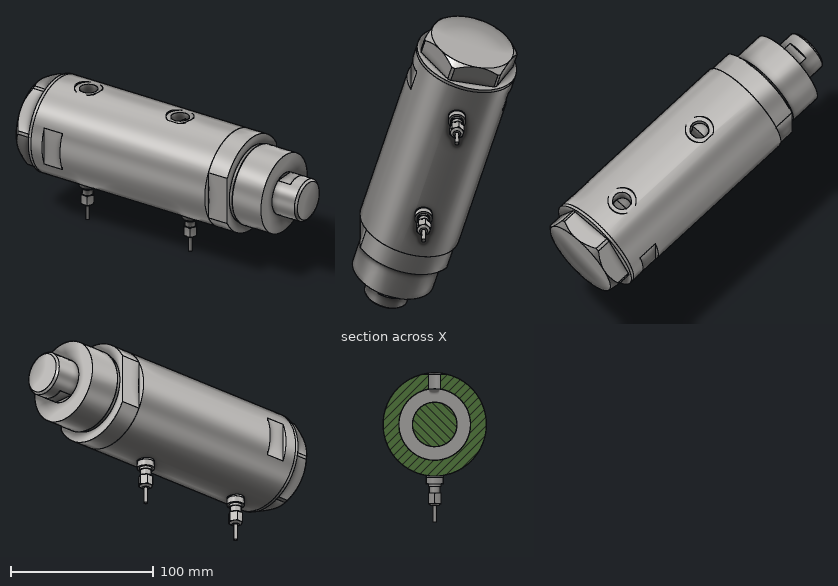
import cadquery as cq
import math


hex_end = 14.5
cap_flange_end = 16.8
cap_spigot_end = 42.4
gland_spigot_start = 118.2
barrel_end = 163.0
gland_flange_end = 179.0
gland_end = 206.1
rod_end = 226.5

barrel_radius = 36.5
bore_radius = 25.1
gland_seat_radius = 31.5
barrel_flat_half_width = 33.5
barrel_flat_start = 26.0
barrel_flat_length = 15.2

port_positions = (41.5, 118.5)
port_radius = 6.5
port_face_radius = 10.0
port_face_depth = 1.1

cap_hex_across_flats = 60.0
cap_hex_corner_radius = 34.0
cap_hex_turn = -7.5

gland_flat_half_width = 31.7
gland_nose_radius = 30.0
gland_groove_radius = 29.0
gland_groove_width = 2.3
gland_groove_chamfer = gland_nose_radius - gland_groove_radius

piston_length = 29.5
rod_diameter = 31.5
rod_radius = rod_diameter / 2
rod_chamfer = 1.5
rod_flat_half_width = 13.5
rod_flat_length = 10.5

sensor_positions = (40.5, 127.0)
sensor_boss_height = 1.0
sensor_top = -barrel_radius - sensor_boss_height
sensor_body_radius = 6.1
sensor_body_end = -42.0
sensor_collar_radius = 4.5
sensor_collar_end = -43.7
sensor_neck_radius = 3.9
sensor_nut_top = -48.2
sensor_nut_across_flats = 9.0
sensor_nut_chamfer = 0.5
sensor_nut_end = -55.7
sensor_cone_end = -57.0
sensor_cone_tip_radius = 2.7
cable_radius = 1.4
cable_end = -68.9


def cylinder_x(radius, start, end):
    """Solid cylinder about the X axis between two stations."""
    return cq.Workplane("YZ", origin=(start, 0, 0)).circle(radius).extrude(end - start)


def cylinder_z(radius, x, bottom, top):
    """Solid upright cylinder at a given X between two heights."""
    return cq.Workplane("XY", origin=(x, 0, bottom)).circle(radius).extrude(top - bottom)


def slab_x(start, end, thickness, across):
    """Block centred on the X axis: given thickness along Y or Z, full barrel width on the other."""
    wide = 2 * barrel_radius
    size_y, size_z = (thickness, wide) if across == "Y" else (wide, thickness)
    length = end - start
    return cq.Workplane("XY").box(length, size_y, size_z).translate((start + length / 2, 0, 0))


def cut_parallel_flats(body, radius, start, end, half_width, across):
    """Cut two opposite wrench flats into a round stretch of a body."""
    kept = slab_x(start, end, 2 * half_width, across)
    return body.cut(cylinder_x(radius, start, end).cut(kept))


def hexagon_across_corners(across_flats):
    return across_flats / math.cos(math.radians(30))


def make_barrel():
    barrel = cylinder_x(barrel_radius, cap_flange_end, barrel_end)
    barrel = cut_parallel_flats(
        barrel, barrel_radius, barrel_flat_start, barrel_flat_start + barrel_flat_length,
        barrel_flat_half_width, "Y",
    )
    for x in sensor_positions:
        barrel = barrel.union(cylinder_z(sensor_body_radius, x, sensor_top, 0))
    barrel = barrel.cut(cylinder_x(bore_radius, cap_flange_end, gland_spigot_start))
    barrel = barrel.cut(cylinder_x(gland_seat_radius, gland_spigot_start, barrel_end))
    port_face_height = barrel_radius - port_face_depth
    for x in port_positions:
        barrel = barrel.cut(cylinder_z(port_radius, x, 0, barrel_radius))
        barrel = barrel.cut(cylinder_z(port_face_radius, x, port_face_height, barrel_radius))
    return barrel


def make_end_cap():
    hexagon = (
        cq.Workplane("YZ")
        .polygon(6, hexagon_across_corners(cap_hex_across_flats))
        .extrude(hex_end)
        .rotate((0, 0, 0), (1, 0, 0), cap_hex_turn)
    )
    turned_blank = (
        cylinder_x(cap_hex_corner_radius, 0, hex_end)
        .faces("<X")
        .chamfer(cap_hex_corner_radius - cap_hex_across_flats / 2)
    )
    flange = cylinder_x(barrel_radius, hex_end, cap_flange_end)
    spigot = cylinder_x(bore_radius, cap_flange_end, cap_spigot_end)
    return hexagon.intersect(turned_blank).union(flange).union(spigot)


def make_gland():
    groove_end = gland_flange_end + gland_groove_width
    profile = [
        (gland_spigot_start, rod_radius),
        (gland_spigot_start, gland_seat_radius),
        (barrel_end, gland_seat_radius),
        (barrel_end, barrel_radius),
        (gland_flange_end, barrel_radius),
        (gland_flange_end, gland_groove_radius),
        (groove_end, gland_groove_radius),
        (groove_end + gland_groove_chamfer, gland_nose_radius),
        (gland_end, gland_nose_radius),
        (gland_end, rod_radius),
    ]
    gland = cq.Workplane("XY").polyline(profile).close().revolve(360, (0, 0, 0), (1, 0, 0))
    return cut_parallel_flats(
        gland, barrel_radius, barrel_end, gland_flange_end, gland_flat_half_width, "Y"
    )


def make_piston_rod():
    piston = cylinder_x(bore_radius, cap_spigot_end, cap_spigot_end + piston_length)
    rod = cylinder_x(rod_radius, cap_spigot_end, rod_end).faces(">X").chamfer(rod_chamfer)
    rod = cut_parallel_flats(
        rod, rod_radius, gland_end, gland_end + rod_flat_length, rod_flat_half_width, "Z"
    )
    return piston.union(rod)


def make_sensor(x):
    across_corners = hexagon_across_corners(sensor_nut_across_flats)
    nut_blank = (
        cylinder_z(across_corners / 2, x, sensor_nut_end, sensor_nut_top)
        .faces("<Z or >Z")
        .chamfer(sensor_nut_chamfer)
    )
    nut = (
        cq.Workplane("XY", origin=(x, 0, sensor_nut_end))
        .polygon(6, across_corners)
        .extrude(sensor_nut_top - sensor_nut_end)
        .intersect(nut_blank)
    )
    cable_cone = cq.Workplane(
        cq.Solid.makeCone(
            sensor_nut_across_flats / 2, sensor_cone_tip_radius, sensor_nut_end - sensor_cone_end,
            cq.Vector(x, 0, sensor_nut_end), cq.Vector(0, 0, -1),
        )
    )
    return (
        cylinder_z(sensor_body_radius, x, sensor_body_end, sensor_top)
        .union(cylinder_z(sensor_collar_radius, x, sensor_collar_end, sensor_body_end))
        .union(cylinder_z(sensor_neck_radius, x, sensor_nut_top, sensor_collar_end))
        .union(nut)
        .union(cable_cone)
        .union(cylinder_z(cable_radius, x, cable_end, sensor_cone_end))
    )


barrel = make_barrel()
end_cap = make_end_cap()
gland = make_gland()
piston_rod = make_piston_rod()
sensors = [make_sensor(x) for x in sensor_positions]

result = cq.Compound.makeCompound(
    [barrel.val(), end_cap.val(), gland.val(), piston_rod.val(), *[sensor.val() for sensor in sensors]]
)